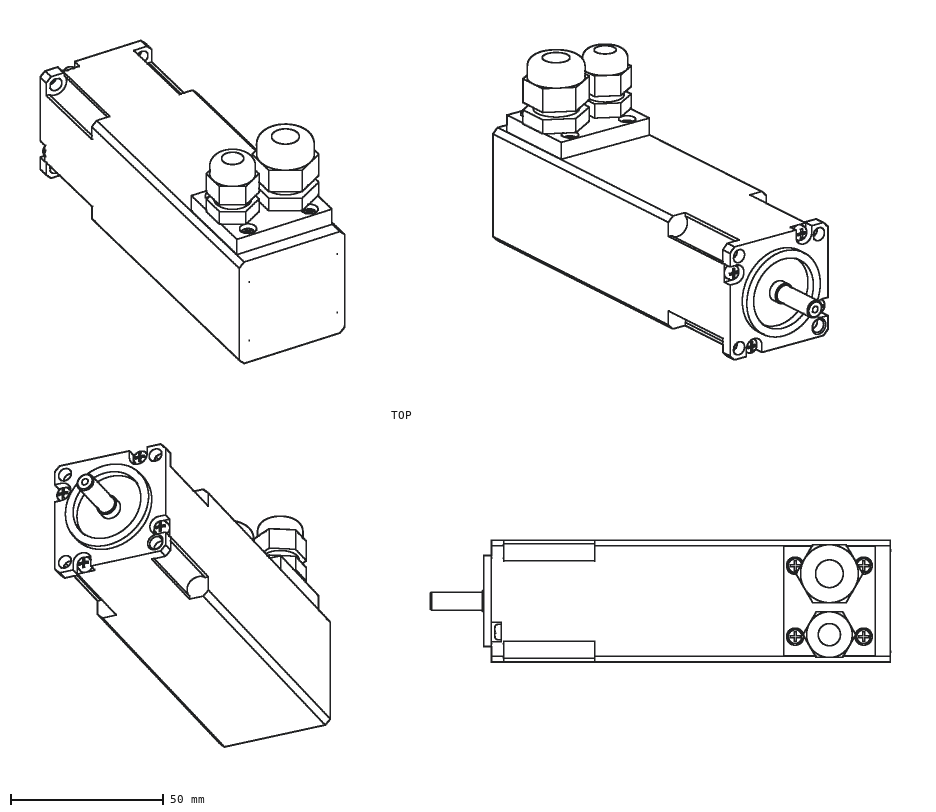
import cadquery as cq
import math


BODY_WIDTH = 40.0
BODY_LENGTH = 131.0
CORNER_DIAMETER = 54.0
HALF_WIDTH = BODY_WIDTH / 2

FLANGE_THICKNESS = 4.0
SLOT_LENGTH = 30.0
SLOT_RADIUS = 4.0
SLOT_MOUTH = 13.2
BOLT_OFFSET = 16.3
BOLT_HOLE_DIAMETER = 4.5
BOLT_HOLE_CHAMFER = 0.5

PILOT_DIAMETER = 30.0
PILOT_HEIGHT = 2.5
PILOT_RECESS_DIAMETER = 24.4
PILOT_RECESS_DEPTH = 3.0
SHAFT_DIAMETER = 6.0
SHAFT_END = -20.0
SHAFT_CHAMFER = 0.4
COLLAR_DIAMETER = 7.0
COLLAR_END = -3.0
COLLAR_CHAMFER = 0.3
CENTRE_HOLE_DIAMETER = 2.2
CENTRE_HOLE_DEPTH = 5.0

FLANGE_SCREW_RADIUS = 2.5
FLANGE_SCREW_POCKET_RADIUS = 3.2
FLANGE_SCREW_POCKET_DEPTH = 3.2
SCREW_PROUD = 0.033
FLANGE_SCREW_OUT = HALF_WIDTH + SCREW_PROUD - FLANGE_SCREW_RADIUS
FLANGE_SCREW_ALONG = 10.15

HEAD_HEIGHT = 2.0
HEAD_ROUNDING = 0.9
CROSS_LENGTH = 3.2
CROSS_WIDTH = 0.65
CROSS_DEPTH = 1.0

PLATE_LENGTH = 30.0
PLATE_WIDTH = 36.0
PLATE_HEIGHT = 6.0
PLATE_CENTRE_X = 111.0
PLATE_TOP = HALF_WIDTH + PLATE_HEIGHT
PLATE_SCREW_X = 11.25
PLATE_SCREW_Y = 11.65
PLATE_SCREW_RADIUS = 2.25
PLATE_SCREW_POCKET_RADIUS = 2.8
PLATE_SCREW_POCKET_DEPTH = 3.0

GLAND_NUT_HEIGHT = 5.0
GLAND_NECK_HEIGHT = 2.6
GLAND_ROUNDING = 3.0
GLAND_INSERT_DEPTH = 0.05
LARGE_GLAND = {
    "y": 9.0,
    "across_flats": 19.0,
    "neck_diameter": 15.2,
    "cap_nut_height": 8.4,
    "cap_height": 7.0,
    "insert_diameter": 9.1,
}
SMALL_GLAND = {
    "y": -11.0,
    "across_flats": 15.0,
    "neck_diameter": 12.4,
    "cap_nut_height": 7.3,
    "cap_height": 6.1,
    "insert_diameter": 7.3,
}

CROWN_RADIUS = 0.45
CROWN_HEIGHT = 0.09
CROWN_SHOULDER_HEIGHT = 0.75 * CROWN_HEIGHT
CROWN_Y = 16.6
CROWN_Z = 11.5

CORNERS = [(1, 1), (-1, 1), (-1, -1), (1, -1)]


def rod(diameter, start, end, y=0.0, z=0.0):
    """Cylinder along X between two X positions."""
    return cq.Workplane("YZ", origin=(start, 0, 0)).center(y, z).circle(diameter / 2).extrude(end - start)


def block(x_range, y_range, z_range):
    """Box between two corners."""
    size = [high - low for low, high in (x_range, y_range, z_range)]
    low_corner = (x_range[0], y_range[0], z_range[0])
    return cq.Workplane("XY", origin=low_corner).box(*size, centered=False)


def make_body():
    bar = block((0, BODY_LENGTH), (-HALF_WIDTH, HALF_WIDTH), (-HALF_WIDTH, HALF_WIDTH))
    return bar.intersect(rod(CORNER_DIAMETER, 0, BODY_LENGTH))


def corner_slot(side_y, side_z):
    """Round-bottomed slot along one edge of the body, open to both neighbouring sides."""
    start = FLANGE_THICKNESS
    end = FLANGE_THICKNESS + SLOT_LENGTH
    slot = rod(2 * SLOT_RADIUS, start, end, side_y * BOLT_OFFSET, side_z * BOLT_OFFSET)
    mouth_range_y = sorted((side_y * SLOT_MOUTH, side_y * HALF_WIDTH))
    mouth_range_z = sorted((side_z * SLOT_MOUTH, side_z * HALF_WIDTH))
    outer_range_y = sorted((side_y * BOLT_OFFSET, side_y * HALF_WIDTH))
    outer_range_z = sorted((side_z * BOLT_OFFSET, side_z * HALF_WIDTH))
    slot = slot.union(block((start, end), mouth_range_y, outer_range_z))
    return slot.union(block((start, end), outer_range_y, mouth_range_z))


def bolt_hole(side_y, side_z):
    return rod(BOLT_HOLE_DIAMETER, 0, FLANGE_THICKNESS, side_y * BOLT_OFFSET, side_z * BOLT_OFFSET)


def bolt_hole_bevel(side_y, side_z):
    """Conical bevel at the mouth of a bolt hole."""
    hole_radius = BOLT_HOLE_DIAMETER / 2
    mouth_radius = hole_radius + BOLT_HOLE_CHAMFER
    centre = cq.Vector(0, side_y * BOLT_OFFSET, side_z * BOLT_OFFSET)
    cone = cq.Solid.makeCone(mouth_radius, hole_radius, BOLT_HOLE_CHAMFER, centre, cq.Vector(1, 0, 0))
    return cq.Workplane(cone)


def make_pilot():
    return rod(PILOT_DIAMETER, -PILOT_HEIGHT, 0)


def pilot_recess():
    return rod(PILOT_RECESS_DIAMETER, -PILOT_HEIGHT, PILOT_RECESS_DEPTH - PILOT_HEIGHT)


def make_shaft():
    collar = rod(COLLAR_DIAMETER, COLLAR_END, FLANGE_THICKNESS).faces("<X").chamfer(COLLAR_CHAMFER)
    shaft = rod(SHAFT_DIAMETER, SHAFT_END, 0).faces("<X").chamfer(SHAFT_CHAMFER)
    centre_hole = rod(CENTRE_HOLE_DIAMETER, SHAFT_END, SHAFT_END + CENTRE_HOLE_DEPTH)
    return shaft.union(collar).cut(centre_hole)


def screw_head(radius):
    """Domed head standing on the XY plane, with a cross recess in its top."""
    head = cq.Workplane("XY").circle(radius).extrude(HEAD_HEIGHT).faces(">Z").edges().fillet(HEAD_ROUNDING)
    recess_plane = cq.Workplane("XY", origin=(0, 0, HEAD_HEIGHT - CROSS_DEPTH))
    for length_x, length_y in [(CROSS_LENGTH, CROSS_WIDTH), (CROSS_WIDTH, CROSS_LENGTH)]:
        head = head.cut(recess_plane.rect(length_x, length_y).extrude(CROSS_DEPTH))
    return head


def flange_screw_pocket():
    """Counterbore for the screw at the +Y side, open toward +Y."""
    radius = FLANGE_SCREW_POCKET_RADIUS
    depth = FLANGE_SCREW_POCKET_DEPTH
    bore = rod(2 * radius, 0, depth, FLANGE_SCREW_OUT, FLANGE_SCREW_ALONG)
    opening = block(
        (0, depth),
        (FLANGE_SCREW_OUT, FLANGE_SCREW_OUT + radius),
        (FLANGE_SCREW_ALONG - radius, FLANGE_SCREW_ALONG + radius),
    )
    return bore.union(opening)


def flange_screw():
    head = screw_head(FLANGE_SCREW_RADIUS).rotate((0, 0, 0), (0, 1, 0), -90)
    return head.translate((FLANGE_SCREW_POCKET_DEPTH, FLANGE_SCREW_OUT, FLANGE_SCREW_ALONG))


def make_plate():
    plate = (
        cq.Workplane("XY", origin=(PLATE_CENTRE_X, 0, HALF_WIDTH))
        .rect(PLATE_LENGTH, PLATE_WIDTH)
        .extrude(PLATE_HEIGHT)
    )
    floor = PLATE_TOP - PLATE_SCREW_POCKET_DEPTH
    for side_x, side_y in CORNERS:
        seat = (PLATE_CENTRE_X + side_x * PLATE_SCREW_X, side_y * PLATE_SCREW_Y, floor)
        pocket = cq.Workplane("XY", origin=seat).circle(PLATE_SCREW_POCKET_RADIUS)
        plate = plate.cut(pocket.extrude(PLATE_SCREW_POCKET_DEPTH))
        plate = plate.union(screw_head(PLATE_SCREW_RADIUS).translate(seat))
    return plate


def make_gland(y, across_flats, neck_diameter, cap_nut_height, cap_height, insert_diameter):
    """Cable gland: nut, neck, cap nut and a rounded cap, stacked on the plate."""
    across_corners = across_flats / math.cos(math.pi / 6)
    gland = (
        cq.Workplane("XY", origin=(PLATE_CENTRE_X, y, PLATE_TOP))
        .polygon(6, across_corners)
        .extrude(GLAND_NUT_HEIGHT)
        .faces(">Z")
        .workplane()
        .circle(neck_diameter / 2)
        .extrude(GLAND_NECK_HEIGHT)
        .faces(">Z")
        .workplane()
        .polygon(6, across_corners)
        .extrude(cap_nut_height)
    )
    cap_base = PLATE_TOP + GLAND_NUT_HEIGHT + GLAND_NECK_HEIGHT + cap_nut_height
    cap = (
        cq.Workplane("XY", origin=(PLATE_CENTRE_X, y, cap_base))
        .circle(across_flats / 2)
        .extrude(cap_height)
        .faces(">Z")
        .edges()
        .fillet(GLAND_ROUNDING)
        .faces(">Z")
        .workplane()
        .circle(insert_diameter / 2)
        .cutBlind(-GLAND_INSERT_DEPTH)
    )
    return gland.union(cap)


def rear_crown(side_y, side_z):
    """Shallow round crown on the rear face."""
    profile = (
        cq.Workplane("XY")
        .lineTo(CROWN_HEIGHT, 0)
        .threePointArc((CROWN_SHOULDER_HEIGHT, CROWN_RADIUS / 2), (0, CROWN_RADIUS))
        .close()
    )
    crown = profile.revolve(360, (0, 0, 0), (1, 0, 0))
    return crown.translate((BODY_LENGTH, side_y * CROWN_Y, side_z * CROWN_Z))


motor = make_body().union(make_pilot()).cut(pilot_recess()).union(make_shaft())
for corner in CORNERS:
    motor = motor.cut(corner_slot(*corner)).cut(bolt_hole(*corner))
    motor = motor.union(rear_crown(*corner))
motor = motor.cut(bolt_hole_bevel(-1, -1))
for quarter_turn in range(4):
    angle = 90 * quarter_turn
    motor = motor.cut(flange_screw_pocket().rotate((0, 0, 0), (1, 0, 0), angle))
    motor = motor.union(flange_screw().rotate((0, 0, 0), (1, 0, 0), angle))
motor = motor.union(make_plate())
for gland_sizes in (LARGE_GLAND, SMALL_GLAND):
    motor = motor.union(make_gland(**gland_sizes))

result = motor